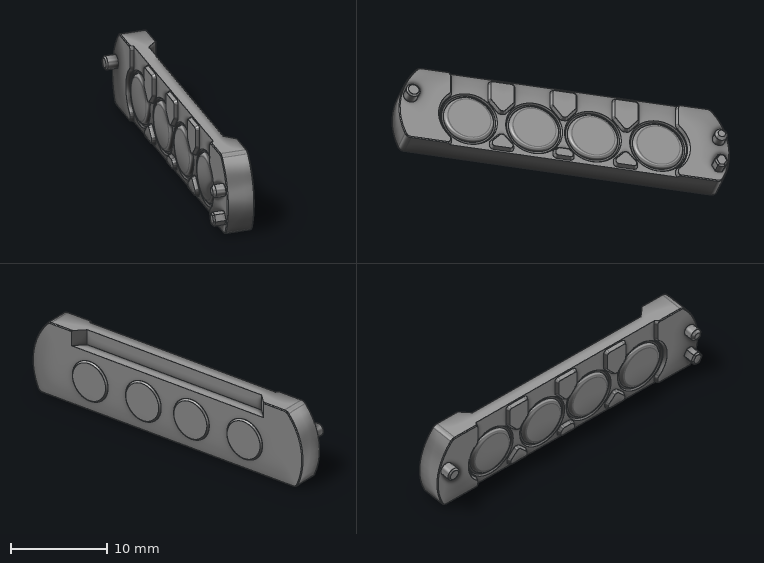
import cadquery as cq
import math

length = 35.55
height = 8.65
plate_thickness = 3.0
end_radius = 7.43
button_z = -0.85
corner_fillet = 0.7
rim_chamfer = 0.1

recess_depth = 0.4
bevel_width = 0.2
bevel_angle = math.degrees(math.atan2(bevel_width, recess_depth))
recess_half_length = 12.05
recess_flare = 0.65
recess_end_radius = 3.15

button_xs = (-10.15, -3.15, 3.15, 10.15)
button_radius = 2.7
button_fillet = 0.4
button_drop = 0.2
groove_radius = 3.05
groove_floor_radius = 2.9
groove_floor = button_drop + button_fillet

boss_radius = 2.35
boss_height = 0.2
boss_chamfer = 0.18

notch_depth = 1.17
notch_drop = 1.78
notch_half_length = 11.48

pin_length = 1.3
pin_x = 16.55
upper_pin_z = 0.7
lower_pin_z = -2.5
pin_chamfer = 0.18
left_pin_radius = 0.75
right_pin_radius = 0.68
right_pin_chamfer = 0.3
diamond_pin_radius = 0.75
diamond_half_width = 0.75
diamond_face_angle = 60
diamond_half_height = diamond_half_width * math.tan(math.radians(diamond_face_angle))

island_base_z = 4.12
island_fillet = 0.45
upper_half_width = 1.45
upper_tip_half_width = 0.32
middle_upper_shoulder_z = 2.0
middle_upper_tip_z = 0.6
side_upper_shoulder_z = 1.65
side_upper_tip_z = 0.3
lower_shoulder_z = -3.27
middle_lower_half_width = 1.15
middle_lower_tip_half_width = 0.65
middle_lower_tip_z = -2.77
side_lower_half_width = 1.3
side_lower_tip_half_width = 0.25
side_lower_tip_z = -2.15
island_pitch = (button_xs[2] + button_xs[3]) / 2


def front_plane(y):
    """Workplane parallel to the front face, facing -Y, at depth y."""
    return cq.Workplane("XZ", origin=(0, y, 0))


def body():
    """Plate with straight long edges and arc-shaped ends."""
    top = height / 2
    arc_x = length / 2 - end_radius

    def end_x(z):
        return arc_x + math.sqrt(end_radius**2 - (z - button_z) ** 2)

    plate = (
        front_plane(plate_thickness)
        .moveTo(-end_x(top), top)
        .lineTo(end_x(top), top)
        .threePointArc((length / 2, button_z), (end_x(-top), -top))
        .lineTo(-end_x(-top), -top)
        .threePointArc((-length / 2, button_z), (-end_x(top), top))
        .close()
        .extrude(plate_thickness)
    )
    plate = plate.edges("|Y").fillet(corner_fillet)
    return plate.faces("<Y or >Y").chamfer(rim_chamfer)


def recess():
    """Tool for the bevelled front recess, rounded around the end buttons and flared at the long edges."""
    margin = 3 * recess_flare
    flare_z = height / 2 + bevel_width + margin / 2
    outline = (
        cq.Sketch()
        .rect(2 * recess_half_length, height + margin)
        .push([(0, flare_z), (0, -flare_z)])
        .rect(2 * (recess_half_length + margin), margin)
        .reset()
        .push([(button_xs[0], button_z), (button_xs[-1], button_z)])
        .circle(recess_end_radius)
        .reset()
        .clean()
        .vertices()
        .fillet(recess_flare)
    )
    return front_plane(recess_depth).placeSketch(outline).extrude(recess_depth, taper=-bevel_angle)


def island(x, base_z, shoulder_z, tip_z, half_width, tip_half_width):
    """Bevelled island: a rectangle narrowing from its shoulder to a flat tip."""
    right_side = [(half_width, base_z), (half_width, shoulder_z), (tip_half_width, tip_z)]
    left_side = [(-px, pz) for px, pz in reversed(right_side)]
    points = right_side + left_side
    outline = cq.Sketch().polygon(points + points[:1]).vertices().fillet(island_fillet)
    base = front_plane(recess_depth).center(x, 0).placeSketch(outline)
    return base.extrude(recess_depth, taper=bevel_angle)


def upper_island(x, shoulder_z, tip_z):
    """Shield-shaped island hanging from the upper edge."""
    return island(x, island_base_z, shoulder_z, tip_z, upper_half_width, upper_tip_half_width)


def lower_island(x, tip_z, half_width, tip_half_width):
    """Small island standing on the lower edge."""
    return island(x, -island_base_z, lower_shoulder_z, tip_z, half_width, tip_half_width)


def groove(x):
    """Tool for the tapered groove around one button, cut down from the recess floor."""
    profile = [
        (0, groove_floor),
        (groove_floor_radius, groove_floor),
        (groove_radius, recess_depth),
        (0, recess_depth),
    ]
    return cq.Workplane("XY").polyline(profile).close().revolve().translate((x, 0, button_z))


def button(x):
    """Front button with a rounded rim, rising from the groove floor."""
    flat = button_radius - button_fillet
    bend = button_fillet * math.sqrt(0.5)
    return (
        cq.Workplane("XY")
        .moveTo(0, plate_thickness / 2)
        .lineTo(button_radius, plate_thickness / 2)
        .lineTo(button_radius, groove_floor)
        .threePointArc((flat + bend, groove_floor - bend), (flat, button_drop))
        .lineTo(0, button_drop)
        .close()
        .revolve()
        .translate((x, 0, button_z))
    )


def boss(x):
    """Low chamfered disc on the back face behind one button."""
    disc = front_plane(plate_thickness + boss_height).center(x, button_z).circle(boss_radius)
    return disc.extrude(2 * boss_height).faces(">Y").chamfer(boss_chamfer)


def notch():
    """Tool for the notch in the upper back edge."""
    wide = notch_half_length + notch_depth
    return (
        cq.Workplane("XY", origin=(0, 0, height / 2 - notch_drop))
        .polyline([
            (-notch_half_length, plate_thickness - notch_depth),
            (notch_half_length, plate_thickness - notch_depth),
            (wide, plate_thickness),
            (-wide, plate_thickness),
        ])
        .close()
        .extrude(notch_drop)
    )


def round_pin(x, z, radius, chamfer):
    """Round pin with a chamfered tip."""
    pin = front_plane(recess_depth).center(x, z).circle(radius).extrude(recess_depth + pin_length)
    return pin.faces("<Y").chamfer(chamfer)


def diamond_pin(x, z):
    """Chamfered round pin relieved to a diamond with its points along X."""
    diamond = (
        front_plane(recess_depth)
        .center(x, z)
        .polyline([
            (diamond_half_width, 0),
            (0, diamond_half_height),
            (-diamond_half_width, 0),
            (0, -diamond_half_height),
        ])
        .close()
        .extrude(recess_depth + pin_length)
        .faces("<Y")
        .chamfer(pin_chamfer)
    )
    return diamond.intersect(round_pin(x, z, diamond_pin_radius, pin_chamfer))


result = body().cut(recess()).cut(notch())

for x in (-island_pitch, island_pitch):
    result = result.union(upper_island(x, side_upper_shoulder_z, side_upper_tip_z))
    result = result.union(
        lower_island(x, side_lower_tip_z, side_lower_half_width, side_lower_tip_half_width)
    )
result = result.union(upper_island(0, middle_upper_shoulder_z, middle_upper_tip_z))
result = result.union(
    lower_island(0, middle_lower_tip_z, middle_lower_half_width, middle_lower_tip_half_width)
)

for x in button_xs:
    result = result.cut(groove(x)).union(button(x)).union(boss(x))

result = result.union(round_pin(-pin_x, upper_pin_z, left_pin_radius, pin_chamfer))
result = result.union(round_pin(pin_x, upper_pin_z, right_pin_radius, right_pin_chamfer))
result = result.union(diamond_pin(pin_x, lower_pin_z))